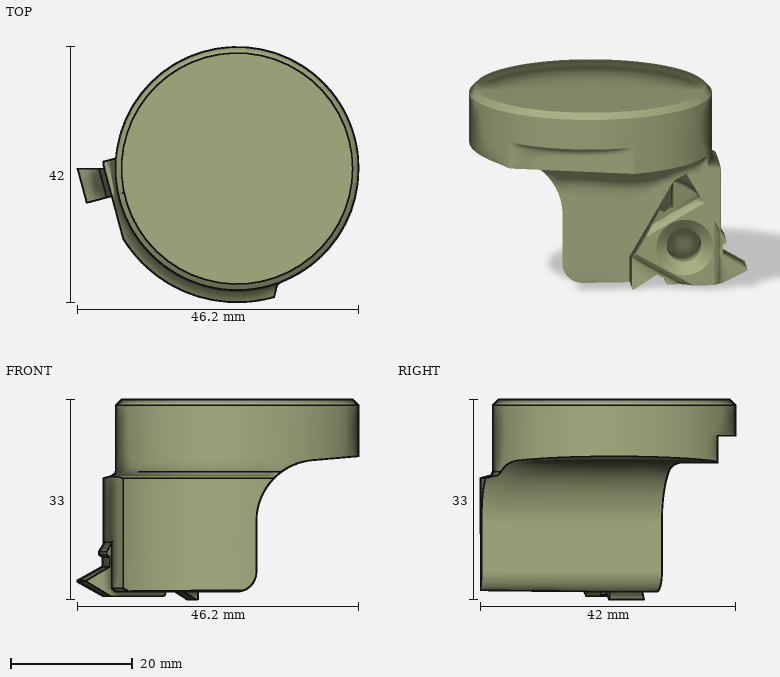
import cadquery as cq
import math


disc_radius = 20.0
body_radius = 22.0
top_chamfer = 1.0
neck_fillet = 0.7
neck_top = -11.9
neck_bottom = neck_top - neck_fillet
shoulder_drop = 0.36
body_bottom = -31.65
bottom_tilt = 0.5

rear_flat_y = 17.0
rear_flat_top = -6.0
gullet_top = -10.43
gullet_fillet = 1.2
side_wall_x = 3.2
side_arc_radius = 10.0
side_arc_center_z = -20.0
side_slope = 5.0
side_corner_radius = 3.3
flat_distance = 21.08
flat_chamfer = 0.6
margin = 60.0

insert_angle = 15.0
tip_x = -26.24
tip_z = -29.9
cos_a = math.cos(math.radians(insert_angle))
sin_a = math.sin(math.radians(insert_angle))
face_offset = -tip_x * sin_a
tip_u = tip_x * cos_a

insert_thickness = 5.85
corner_count = 3
corner_step = 360.0 / corner_count
center_u = tip_u + 10.3
center_w = -25.96
edge_distance = 6.44
tip_width = 0.25
tooth_half_angle = 30.0
notch_u = tip_u + 3.95
notch_top = -25.95
hook_u = tip_u + 3.4
hook_height = 0.5
rake_angle = 15.0
rake_length = 4.4
rake_end = 5.45
hole_diameter = 5.7
countersink_diameter = 9.4
countersink_angle = 90.0

pocket_apex_height = 12.5
pocket_clearance = 0.8
pocket_end = 0.6


def insert_plane(u=0.0, w=0.0):
    """Plane of the insert face, with its origin at the given u and w."""
    origin = (u * cos_a - face_offset * sin_a, u * sin_a + face_offset * cos_a, w)
    return cq.Plane(origin=origin, xDir=(cos_a, sin_a, 0), normal=(sin_a, -cos_a, 0))


def across_plane(u):
    """Plane square to u: local x is measured along the insert face normal, local y is Z."""
    origin = (u * cos_a, u * sin_a, 0)
    return cq.Plane(origin=origin, xDir=(-sin_a, cos_a, 0), normal=(cos_a, sin_a, 0))


def turn(point, degrees):
    """Rotate a (u, w) point about the insert centre."""
    angle = math.radians(degrees)
    du = point[0] - center_u
    dw = point[1] - center_w
    return (
        center_u + du * math.cos(angle) - dw * math.sin(angle),
        center_w + du * math.sin(angle) + dw * math.cos(angle),
    )


def make_envelope():
    """Turned shape: chamfered disc, neck fillet, sloped shoulder and wider lower body."""
    arc_center = (disc_radius + neck_fillet, neck_top)
    arc_middle = (
        arc_center[0] - neck_fillet * math.sqrt(0.5),
        arc_center[1] - neck_fillet * math.sqrt(0.5),
    )
    return (
        cq.Workplane("XZ")
        .moveTo(0, 0)
        .lineTo(disc_radius - top_chamfer, 0)
        .lineTo(disc_radius, -top_chamfer)
        .lineTo(disc_radius, neck_top)
        .threePointArc(arc_middle, (disc_radius + neck_fillet, neck_bottom))
        .lineTo(body_radius, neck_bottom - shoulder_drop)
        .lineTo(body_radius, body_bottom)
        .lineTo(0, body_bottom)
        .close()
        .revolve(360, (0, 0), (0, 1))
    )


def make_rear_flat():
    return (
        cq.Workplane("XY")
        .box(2 * margin, margin, margin, centered=(True, False, False))
        .translate((0, rear_flat_y, rear_flat_top - margin))
    )


def make_gullet():
    """Space in front of the insert face, with a rounded root under the disc."""
    return (
        cq.Workplane(across_plane(-margin))
        .moveTo(face_offset, -margin)
        .lineTo(face_offset, gullet_top - gullet_fillet)
        .radiusArc((face_offset + gullet_fillet, gullet_top), gullet_fillet)
        .lineTo(margin, gullet_top)
        .lineTo(margin, -margin)
        .close()
        .extrude(2 * margin)
    )


def make_side_cut():
    """Space under the disc on +X: sloped roof, large arc, upright wall, rounded lower corner."""
    slope = math.radians(side_slope)
    arc_center_x = side_wall_x + side_arc_radius
    roof_start = (
        arc_center_x - side_arc_radius * math.sin(slope),
        side_arc_center_z + side_arc_radius * math.cos(slope),
    )
    roof_end_z = roof_start[1] + (margin - roof_start[0]) * math.tan(slope)
    corner_top = body_bottom + side_corner_radius
    return (
        cq.Workplane("XZ", origin=(0, margin, 0))
        .moveTo(margin, roof_end_z)
        .lineTo(*roof_start)
        .radiusArc((side_wall_x, side_arc_center_z), -side_arc_radius)
        .lineTo(side_wall_x, corner_top)
        .radiusArc((side_wall_x - side_corner_radius, body_bottom), side_corner_radius)
        .lineTo(side_wall_x - side_corner_radius, -margin)
        .lineTo(margin, -margin)
        .close()
        .extrude(2 * margin)
    )


def make_flat_cut():
    """Flat square to the insert face, with a chamfer along its lower edge."""
    return (
        cq.Workplane(insert_plane())
        .workplane(offset=-margin)
        .moveTo(-margin, 0)
        .lineTo(-flat_distance, 0)
        .lineTo(-flat_distance, body_bottom + flat_chamfer)
        .lineTo(-flat_distance + flat_chamfer, body_bottom)
        .lineTo(-margin, body_bottom)
        .close()
        .extrude(2 * margin)
    )


def make_bottom_cut():
    """Slight tilt of the end face, lowest at the gullet wall."""
    rise = (face_offset + margin) * math.tan(math.radians(bottom_tilt))
    return (
        cq.Workplane(across_plane(-margin))
        .moveTo(face_offset, body_bottom)
        .lineTo(-margin, body_bottom + rise)
        .lineTo(-margin, body_bottom)
        .close()
        .extrude(2 * margin)
    )


def make_pocket():
    """Insert seat: open to the flat, to the gullet and to the end face."""
    edge_slope = math.radians(180.0 - corner_step)
    cos_e = math.cos(edge_slope)
    sin_e = math.sin(edge_slope)
    apex = (center_u + (pocket_apex_height - 2 * edge_distance) / math.tan(edge_slope),
            center_w + pocket_apex_height)
    edge_foot_u = tip_u - rake_length
    edge_foot_w = apex[1] - (apex[0] - edge_foot_u) * math.tan(edge_slope)
    far_distance = edge_distance + pocket_clearance
    apex_distance = (apex[0] - center_u) * sin_e + (apex[1] - center_w) * cos_e
    shoulder_length = (far_distance - apex_distance) / (sin_e * sin_e - cos_e * cos_e)
    shoulder = (apex[0] + shoulder_length * sin_e, apex[1] - shoulder_length * cos_e)
    end_u = turn((tip_u, tip_z), corner_step)[0] + pocket_end
    end_w = shoulder[1] - (end_u - shoulder[0]) * math.tan(edge_slope)
    outline = [
        (edge_foot_u, edge_foot_w),
        apex,
        shoulder,
        (end_u, end_w),
        (end_u, -margin),
        (edge_foot_u, -margin),
    ]
    return cq.Workplane(insert_plane()).polyline(outline).close().extrude(insert_thickness)


def make_head():
    head = make_envelope()
    for cutter in (
        make_rear_flat(),
        make_gullet(),
        make_side_cut(),
        make_flat_cut(),
        make_bottom_cut(),
        make_pocket(),
    ):
        head = head.cut(cutter)
    return head


def insert_corner():
    """Outline points of one corner: hook, notch and pointed tooth, down to the long edge."""
    slope = math.tan(math.radians(tooth_half_angle))
    upper_tip = tip_z + tip_width / 2
    lower_tip = tip_z - tip_width / 2
    edge_w = center_w - edge_distance
    hook_edge_u, hook_edge_w = turn((center_u, edge_w), -corner_step)
    hook_top = hook_edge_w + (hook_u - hook_edge_u) * math.tan(math.radians(180.0 - corner_step))
    return [
        (hook_u, hook_top),
        (hook_u, hook_top - hook_height),
        (notch_u, notch_top),
        (notch_u, upper_tip + (notch_u - tip_u) * slope),
        (tip_u, upper_tip),
        (tip_u, lower_tip),
        (tip_u + (lower_tip - edge_w) / slope, edge_w),
    ]


def make_rake_cut():
    """Ground rake of the cutting tooth, ending in a rising chip wall."""
    depth = rake_length * math.tan(math.radians(rake_angle))
    ground = cq.Plane(
        origin=insert_plane(tip_u, center_w - margin / 2).origin.toTuple(),
        xDir=(cos_a, sin_a, 0),
        normal=(0, 0, 1),
    )
    return (
        cq.Workplane(ground)
        .polyline([(0, 0), (rake_length, -depth), (rake_end, 0)])
        .close()
        .extrude(margin)
    )


def make_insert():
    corner = insert_corner()
    outline = [turn(point, index * corner_step) for index in range(corner_count) for point in corner]
    insert = cq.Workplane(insert_plane()).polyline(outline).close().extrude(insert_thickness)
    center = insert_plane(center_u, center_w)
    axis_end = center.origin + center.zDir
    rake_cut = make_rake_cut()
    for index in range(corner_count):
        angle = index * corner_step
        insert = insert.cut(rake_cut.rotate(center.origin.toTuple(), axis_end.toTuple(), angle))
    hole = cq.Workplane(center).circle(hole_diameter / 2).extrude(insert_thickness)
    sink_depth = (countersink_diameter - hole_diameter) / 2 / math.tan(math.radians(countersink_angle / 2))
    sink = (
        cq.Workplane(center)
        .circle(countersink_diameter / 2)
        .workplane(offset=sink_depth)
        .circle(hole_diameter / 2)
        .loft()
    )
    return insert.cut(hole).cut(sink)


head = make_head()
insert = make_insert()
result = cq.Compound.makeCompound([head.val(), insert.val()])